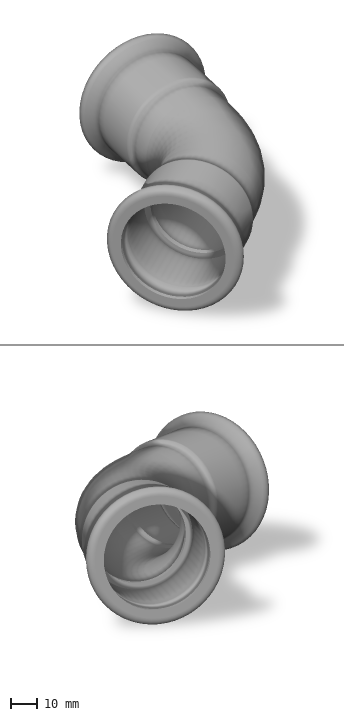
import cadquery as cq
import math

bend_angle = 45.0
bend_radius = 50.3
leg_length = 43.7
tube_radius = 41.4 / 2
tube_bore_radius = 19.3
stop_radius = 18.2
socket_radius = 45.0 / 2
socket_bore_radius = 20.8
stop_depth = 31.6
stop_thickness = 2.3
bead_outer_radius = 27.0
bead_round = 2.88
neck_round = 1.5
shoulder_start = 31.1
shoulder_round = 2.3

COS45 = math.sqrt(0.5)
HALF_OF_45 = math.radians(22.5)

wall = socket_radius - socket_bore_radius
groove_round = bead_round - wall
bore_neck_round = neck_round + wall
bead_center_radius = bead_outer_radius - bead_round
cone_end = bead_round + (bead_center_radius - socket_radius) + bead_round / COS45
neck_end = cone_end + neck_round * math.tan(HALF_OF_45)
round_run = shoulder_round * COS45
round_drop = shoulder_round * (1 - COS45)
shoulder_cone = socket_radius - tube_radius - 2 * round_drop


def arc_point(center, radius, degrees):
    """Point (distance from mouth, radius from axis) on a circle."""
    angle = math.radians(degrees)
    return (center[0] + radius * math.cos(angle), center[1] + radius * math.sin(angle))


def leg_profile():
    """Half section of one leg: X is distance from the mouth, Y is radius."""
    bead = (bead_round, bead_center_radius)
    neck = (neck_end, socket_radius + neck_round)
    shoulder = (shoulder_start, socket_radius - shoulder_round)
    shoulder_end = shoulder_start + 2 * round_run + shoulder_cone
    fillet = (shoulder_end, tube_radius + shoulder_round)
    return (
        cq.Workplane("XY")
        .moveTo(0, socket_bore_radius)
        .lineTo(0, bead_center_radius)
        .threePointArc(arc_point(bead, bead_round, 100), arc_point(bead, bead_round, 45))
        .lineTo(*arc_point(neck, neck_round, 225))
        .threePointArc(arc_point(neck, neck_round, 250), (neck_end, socket_radius))
        .lineTo(shoulder_start, socket_radius)
        .threePointArc(arc_point(shoulder, shoulder_round, 70), arc_point(shoulder, shoulder_round, 45))
        .lineTo(*arc_point(fillet, shoulder_round, 225))
        .threePointArc(arc_point(fillet, shoulder_round, 250), (shoulder_end, tube_radius))
        .lineTo(leg_length, tube_radius)
        .lineTo(leg_length, tube_bore_radius)
        .lineTo(stop_depth + stop_thickness, tube_bore_radius)
        .lineTo(stop_depth + stop_thickness, stop_radius)
        .lineTo(stop_depth, stop_radius)
        .lineTo(stop_depth, socket_bore_radius)
        .lineTo(neck_end, socket_bore_radius)
        .threePointArc(arc_point(neck, bore_neck_round, 250), arc_point(neck, bore_neck_round, 225))
        .lineTo(*arc_point(bead, groove_round, 45))
        .threePointArc(arc_point(bead, groove_round, 100), (wall, bead_center_radius))
        .lineTo(wall, socket_bore_radius)
        .close()
    )


def make_leg():
    """Leg along +X with its mouth at the origin."""
    return leg_profile().revolve(360, (0, 0, 0), (1, 0, 0))


def make_bend():
    """Curved tube from the end of the first leg, turning towards -Y."""
    return (
        cq.Workplane("YZ", origin=(leg_length, 0, 0))
        .circle(tube_radius)
        .circle(tube_bore_radius)
        .revolve(bend_angle, (-bend_radius, 0, 0), (-bend_radius, -1, 0))
    )


first_leg = make_leg()

bend_center = (leg_length, -bend_radius, 0)
bend_axis_end = (leg_length, -bend_radius, 1)
second_leg = first_leg.mirror("YZ", (leg_length, 0, 0)).rotate(bend_center, bend_axis_end, -bend_angle)

result = first_leg.union(make_bend()).union(second_leg)